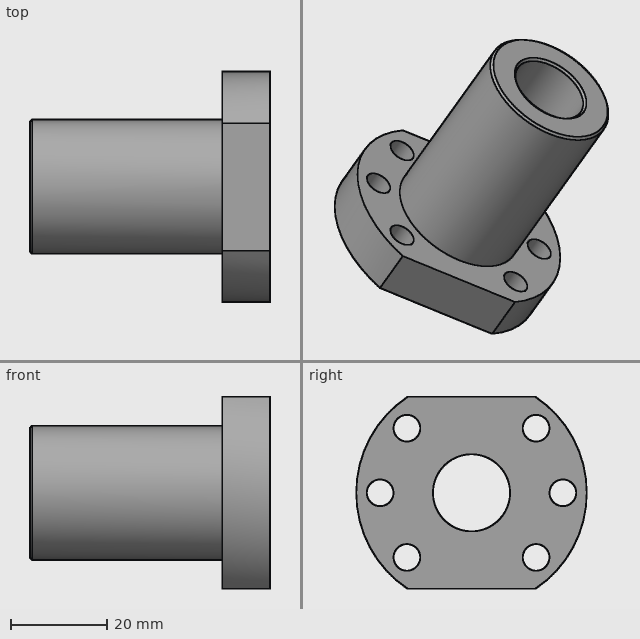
import cadquery as cq

total_length = 50.0
flange_thickness = 10.0
flange_diameter = 48.0
flange_height = 40.0
body_diameter = 28.0
bore_diameter = 16.0
end_chamfer = 0.5

hole_diameter = 5.5
hole_circle_radius = 19.0
hole_spacing_angle = 45.0
holes_per_side = 3

body_length = total_length - flange_thickness


def make_body():
    """Cylinder from X = 0 to the flange, chamfered at its free end."""
    body = cq.Workplane("YZ").circle(body_diameter / 2).extrude(body_length)
    return body.faces("<X").chamfer(end_chamfer)


def make_flange():
    """Round flange with flats on its top and bottom."""
    disc = (
        cq.Workplane("YZ", origin=(body_length, 0, 0))
        .circle(flange_diameter / 2)
        .extrude(flange_thickness)
    )
    flat_band = (
        cq.Workplane("YZ", origin=(body_length, 0, 0))
        .rect(flange_diameter, flange_height)
        .extrude(flange_thickness)
    )
    return disc.intersect(flat_band)


def make_bore():
    """Through bore with a conical lead-in at the free end of the body."""
    bore_radius = bore_diameter / 2
    bore = cq.Workplane("YZ").circle(bore_radius).extrude(total_length)
    lead_in = cq.Solid.makeCone(
        bore_radius + end_chamfer,
        bore_radius,
        end_chamfer,
        pnt=cq.Vector(0, 0, 0),
        dir=cq.Vector(1, 0, 0),
    )
    return bore.union(cq.Workplane(obj=lead_in))


def make_mounting_holes():
    """Cutters for the holes, each side centred on the Y axis."""
    half_spread = hole_spacing_angle * (holes_per_side - 1) / 2
    holes = cq.Workplane("YZ", origin=(body_length, 0, 0))
    for side_angle in (0, 180):
        holes = holes.polarArray(
            hole_circle_radius,
            side_angle - half_spread,
            2 * half_spread,
            holes_per_side,
        ).circle(hole_diameter / 2)
    return holes.extrude(flange_thickness)


result = make_body().union(make_flange()).cut(make_bore()).cut(make_mounting_holes())